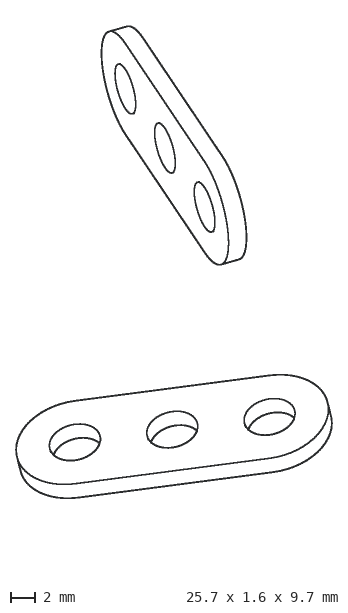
import cadquery as cq

length = 25.7
width = 9.7
thickness = 1.6
hole_diameter = 4.2
hole_count = 3

end_spacing = length - width
hole_pitch = end_spacing / (hole_count - 1)

plate = (
    cq.Workplane("XZ", origin=(0, thickness / 2, 0))
    .slot2D(length, width)
    .extrude(thickness)
)

result = (
    plate.faces("<Y")
    .workplane(centerOption="CenterOfBoundBox")
    .rarray(hole_pitch, 0.25, hole_count, 1)
    .hole(hole_diameter)
)